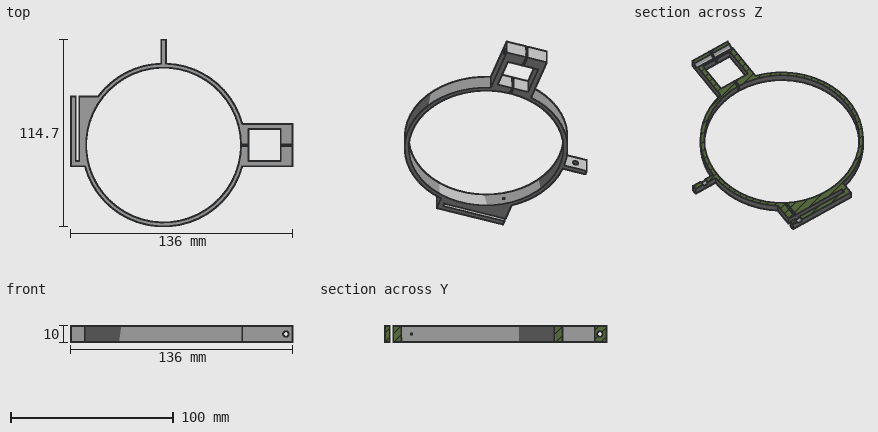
import cadquery as cq

overall_length = 136

height = 10.0
ring_outer_radius = 50.0
ring_inner_radius = 47.5

hole_diameter = 3.3
pilot_diameter = 1.0

tab_width = 3.0
tab_end_y = 64.7
tab_hole_y = (ring_outer_radius + tab_end_y) / 2

clamp_end_x = 79.2
window_size = 19.6
window_start_x = 52.2
clamp_wall = 3.3
split_width = 1.0
clamp_hole_inset = 4.1
window_end_x = window_start_x + window_size
clamp_half_width = window_size / 2 + clamp_wall
clamp_hole_x = clamp_end_x - clamp_hole_inset

block_start_x = clamp_end_x - overall_length
block_top_y = 29.9
block_bottom_y = -clamp_half_width
slot_width = 2.0
block_hole_inset = 5.0
slot_outer_wall = 3.0
slot_start_x = block_start_x + slot_outer_wall
slot_end_x = slot_start_x + slot_width
slot_floor_y = block_bottom_y + clamp_wall
block_hole_y = block_top_y - block_hole_inset


def plate(x_min, x_max, y_min, y_max):
    """Full-height box between the given limits, centred on Z = 0."""
    return (
        cq.Workplane("XY")
        .box(x_max - x_min, y_max - y_min, height)
        .translate(((x_min + x_max) / 2, (y_min + y_max) / 2, 0))
    )


def hole_along_x(diameter, x_min, x_max, y):
    """Cutter for a mid-height hole parallel to X."""
    return (
        cq.Workplane("YZ", origin=(x_min, y, 0))
        .circle(diameter / 2)
        .extrude(x_max - x_min)
    )


body = cq.Workplane("XY").circle(ring_outer_radius).extrude(height / 2, both=True)
body = body.union(plate(-tab_width / 2, tab_width / 2, 0, tab_end_y))
body = body.union(plate(0, clamp_end_x, -clamp_half_width, clamp_half_width))
body = body.union(plate(block_start_x, 0, block_bottom_y, block_top_y))

bore = cq.Workplane("XY").circle(ring_inner_radius).extrude(height / 2, both=True)
body = body.cut(bore)

body = body.cut(plate(window_start_x, window_end_x, -window_size / 2, window_size / 2))
body = body.cut(plate(0, clamp_end_x, -split_width / 2, split_width / 2))
clamp_hole = (
    cq.Workplane("XZ", origin=(clamp_hole_x, 0, 0))
    .circle(hole_diameter / 2)
    .extrude(clamp_half_width, both=True)
)
body = body.cut(clamp_hole)

body = body.cut(plate(slot_start_x, slot_end_x, slot_floor_y, block_top_y))
body = body.cut(hole_along_x(hole_diameter, block_start_x, slot_start_x, block_hole_y))
body = body.cut(hole_along_x(pilot_diameter, slot_start_x, 0, block_hole_y))

body = body.cut(hole_along_x(hole_diameter, -tab_width, tab_width, tab_hole_y))

result = body